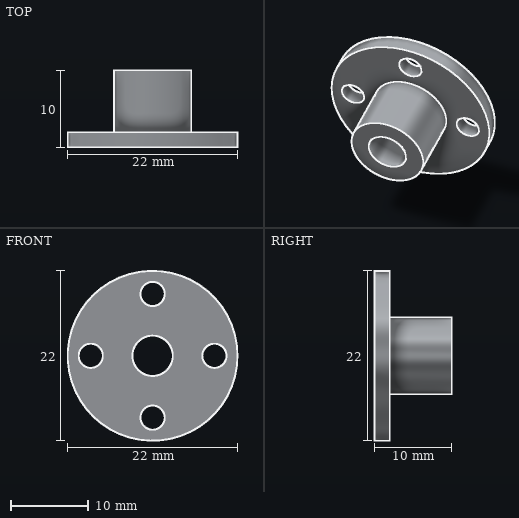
import cadquery as cq
import math

flange_diameter = 22.0
flange_thickness = 2.0
hub_diameter = 10.0
total_length = 10.0
bore_diameter = 5.2

bolt_hole_diameter = 3.1
bolt_circle_diameter = 16.0
bolt_hole_count = 4

set_screw_diameter = 3.0
set_screw_y = 5.68
set_screw_angle = 225.0


def cylinder_along_y(diameter, length):
    return cq.Workplane("XZ").circle(diameter / 2).extrude(-length)


def bolt_holes():
    return (
        cq.Workplane("XZ")
        .polarArray(bolt_circle_diameter / 2, 0, 360, bolt_hole_count)
        .circle(bolt_hole_diameter / 2)
        .extrude(-flange_thickness)
    )


def set_screw_hole():
    """Radial hole from the bore axis out through one side of the hub."""
    angle = math.radians(set_screw_angle)
    direction = cq.Vector(math.cos(angle), 0, math.sin(angle))
    start = cq.Vector(0, set_screw_y, 0)
    return cq.Solid.makeCylinder(set_screw_diameter / 2, hub_diameter, start, direction)


flange = cylinder_along_y(flange_diameter, flange_thickness)
hub = cylinder_along_y(hub_diameter, total_length)
bore = cylinder_along_y(bore_diameter, total_length)

result = flange.union(hub).cut(bore).cut(bolt_holes()).cut(set_screw_hole())